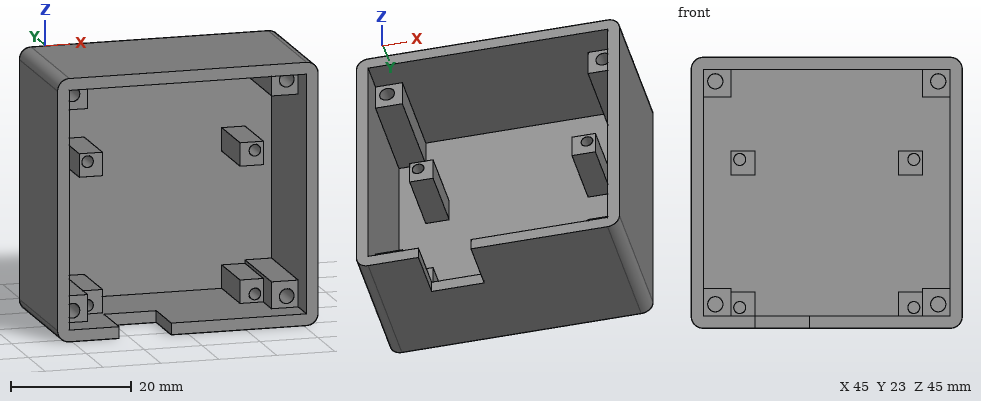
import cadquery as cq

side = 45.0
depth = 23.0
wall = 2.02
corner_radius = wall
cavity_side = side - 2 * wall
cavity_depth = depth - wall

cover_post_side = 4.6
cover_post_recess = 5.0
cover_hole_diameter = 2.5
cover_hole_edge_distance = 4.0
cover_hole_offset = side / 2 - cover_hole_edge_distance

board_post_side = 4.0
board_post_recess = 10.0
board_hole_diameter = 2.0
board_hole_inset = 1.45
board_post_outer_x = cavity_side / 2 - cover_post_side
board_post_x = board_post_outer_x - board_post_side / 2
board_hole_x = board_post_outer_x - board_hole_inset
upper_post_top = 6.98
lower_post_top = board_post_side - cavity_side / 2
upper_post_z = upper_post_top - board_post_side / 2
lower_post_z = lower_post_top - board_post_side / 2
upper_hole_z = upper_post_top - board_hole_inset
lower_hole_z = lower_post_top - board_post_side + board_hole_inset

notch_width = 9.0
notch_depth = 9.0
notch_left = -board_post_outer_x + board_post_side


def block(width, length, height, x, front_y, z):
    """Box centred at (x, z) that starts at front_y and runs toward +Y."""
    return cq.Workplane("XY").box(width, length, height).translate((x, front_y + length / 2, z))


def hole(diameter, length, x, z):
    """Blind hole along Y that ends at the inner face of the back wall."""
    return cq.Workplane("XZ", origin=(x, cavity_depth, z)).circle(diameter / 2).extrude(length)


def drilled_post(post_side, recess, x, z, hole_diameter, hole_x, hole_z):
    """Square post on the back wall, bored over its full length; its front sits recess behind the rim."""
    length = cavity_depth - recess
    post = block(post_side, length, post_side, x, recess, z)
    return post.cut(hole(hole_diameter, length, hole_x, hole_z))


shell = block(side, depth, side, 0, 0, 0).edges("|Y").fillet(corner_radius)
result = shell.cut(block(cavity_side, cavity_depth, cavity_side, 0, 0, 0))

cover_post_offset = (cavity_side - cover_post_side) / 2
for x_sign in (-1, 1):
    for z_sign in (-1, 1):
        result = result.union(
            drilled_post(
                cover_post_side,
                cover_post_recess,
                x_sign * cover_post_offset,
                z_sign * cover_post_offset,
                cover_hole_diameter,
                x_sign * cover_hole_offset,
                z_sign * cover_hole_offset,
            )
        )
    for post_z, hole_z in ((upper_post_z, upper_hole_z), (lower_post_z, lower_hole_z)):
        result = result.union(
            drilled_post(
                board_post_side,
                board_post_recess,
                x_sign * board_post_x,
                post_z,
                board_hole_diameter,
                x_sign * board_hole_x,
                hole_z,
            )
        )

notch = block(notch_width, notch_depth, wall, notch_left + notch_width / 2, 0, (wall - side) / 2)
result = result.cut(notch)